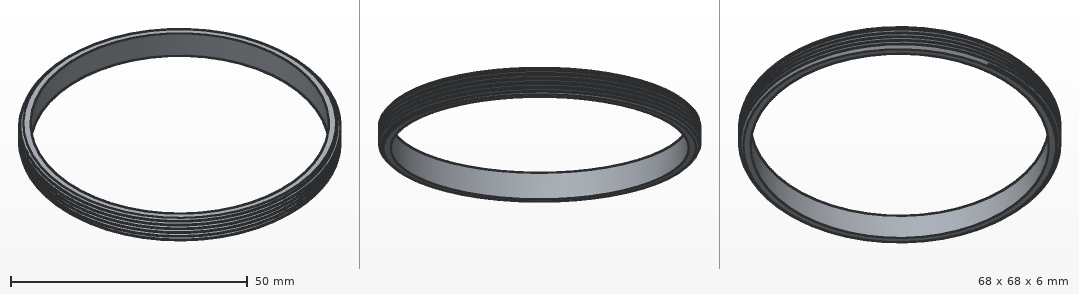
import cadquery as cq
import math

outer_diameter = 68.0
bore_diameter = 63.0
height = 6.0
end_chamfer = 0.95
diameter_to_pitch = 68
flank_half_angle = math.radians(30)
thread_depth = 0.6
root_overlap = 0.1
end_allowance = 2.7

outer_radius = outer_diameter / 2
bore_radius = bore_diameter / 2
pitch = outer_diameter / diameter_to_pitch
crest_width = pitch / 8
root_radius = outer_radius - thread_depth
ridge_base_radius = root_radius - root_overlap
ridge_base_width = crest_width + 2 * (thread_depth + root_overlap) * math.tan(flank_half_angle)


def make_core():
    """Plain tube at the thread root, longer than the ridge at both ends."""
    return (
        cq.Workplane("XY")
        .workplane(offset=-end_allowance)
        .circle(root_radius)
        .circle(bore_radius)
        .extrude(height + 2 * end_allowance)
    )


def make_envelope():
    """Solid bounded by the end faces and the two 45 degree chamfer cones, which meet at mid-height."""
    end_radius = outer_radius - end_chamfer
    return (
        cq.Workplane("XZ")
        .moveTo(0, 0)
        .lineTo(end_radius, 0)
        .lineTo(end_radius + height / 2, height / 2)
        .lineTo(end_radius, height)
        .lineTo(0, height)
        .close()
        .revolve(360, (0, 0, 0), (0, 1, 0))
    )


def make_ridge():
    """Right-hand helical ridge, running past both ends of the ring."""
    start_z = -pitch
    ridge_height = math.ceil(height / pitch + 2) * pitch
    path = cq.Wire.makeHelix(pitch, ridge_height, ridge_base_radius, center=cq.Vector(0, 0, start_z))
    profile = cq.Workplane("XZ").polyline(
        [
            (ridge_base_radius, start_z - ridge_base_width / 2),
            (outer_radius, start_z - crest_width / 2),
            (outer_radius, start_z + crest_width / 2),
            (ridge_base_radius, start_z + ridge_base_width / 2),
        ]
    ).close()
    return profile.sweep(cq.Workplane(path), isFrenet=True)


threaded_tube = make_core().union(make_ridge())
result = threaded_tube.intersect(make_envelope())